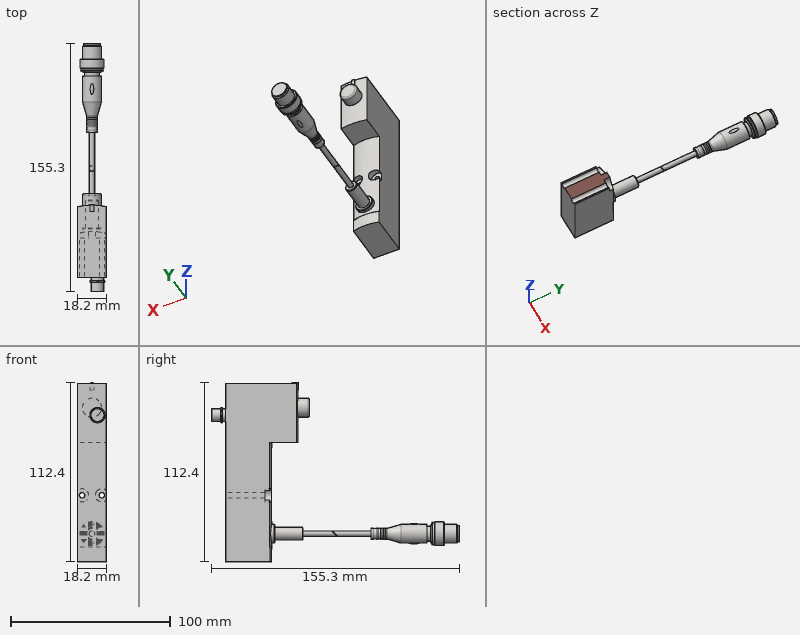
import cadquery as cq


width = 18.2
housing_height = 111.8
head_bottom_z = 74.7
end_block_height = 9.5
body_edge_y = 27.3
body_crest_y = 28.9
end_block_edge_y = 27.6
head_edge_y = 44.4
head_crest_y = 45.3

tab_width = 2.3
tab_height = 0.6
tab_end_y = 45.7
tab_length = 4.2
tab_depth = 4.7

hole_diameter = 3.3
hole_spacing = 12.5
hole_z = 41.8
counterbore_diameter = 8.2
counterbore_floor_y = 24.7

front_connector_x = 3.4
front_connector_z = 92.0
front_connector_diameter = 8.0
front_connector_length = 8.9
o_ring_diameter = 9.6
o_ring_thickness = 1.2
o_ring_offset = 2.5

rear_connector_z = 96.6
rear_connector_diameter = 12.0
rear_connector_end_y = 52.6
rear_connector_fillet = 1.1

cable_z = 17.7
cable_diameter = 3.5
cable_joint_y = 68.3
cable_joint_gap = 0.3
outlet_collar_diameter = 12.0
outlet_collar_end_y = 30.9
outlet_sleeve_diameter = 8.0
outlet_sleeve_end_y = 48.5
outlet_chamfer = 0.5

plug_tip_y = 155.3 - front_connector_length
tip_diameter = 10.5
tip_length = 1.1
tip_cone_end = 1.7
barrel_diameter = 12.0
nut_start = 9.5
nut_end = 15.7
nut_diameter = 15.0
nut_chamfer = 0.5
collar_diameter = 14.0
lip_start = 16.8
lip_end = 17.2
lip_diameter = 14.5
hub_end = 18.0
hub_large_diameter = 13.0
hub_small_diameter = 10.9
neck_diameter = 9.6
grip_start = 20.3
grip_end = 36.5
grip_diameter = 12.0

relief_start = 45.0
relief_diameter = 7.0
rib_count = 5
rib_width = 1.0
end_rib_width = 1.5
groove_width_step = 0.5
groove_depth = 0.19

mark_centre = 28.4
mark_half_length = 5.9
mark_radius = 1.4
mark_height = 0.5

overlap = 1.5


def bowed_block(edge_y, crest_y, bottom_z, top_z):
    """Block as wide as the housing whose back face bows out in an arc."""
    half_width = width / 2
    return (
        cq.Workplane("XY", origin=(0, 0, bottom_z))
        .moveTo(-half_width, 0)
        .lineTo(half_width, 0)
        .lineTo(half_width, edge_y)
        .threePointArc((0, crest_y), (-half_width, edge_y))
        .close()
        .extrude(top_z - bottom_z)
    )


def cylinder_along_y(diameter, x, z, start_y, end_y):
    plane = cq.Plane(origin=(x, start_y, z), xDir=(1, 0, 0), normal=(0, 1, 0))
    return cq.Workplane(plane).circle(diameter / 2).extrude(end_y - start_y)


def make_tab():
    """Round-topped block on the top back edge that stands out above and behind the head."""
    half_width = tab_width / 2
    crown_z = housing_height + tab_height
    bottom_z = crown_z - tab_depth
    return (
        cq.Workplane("XZ", origin=(0, tab_end_y, 0))
        .moveTo(-half_width, bottom_z)
        .lineTo(-half_width, housing_height)
        .threePointArc((0, crown_z), (half_width, housing_height))
        .lineTo(half_width, bottom_z)
        .close()
        .extrude(tab_length)
    )


def make_front_connector():
    shaft = cylinder_along_y(
        front_connector_diameter, front_connector_x, front_connector_z, -front_connector_length, overlap
    )
    tube_radius = o_ring_thickness / 2
    o_ring = cq.Solid.makeTorus(
        o_ring_diameter / 2 - tube_radius,
        tube_radius,
        cq.Vector(front_connector_x, -o_ring_offset, front_connector_z),
        cq.Vector(0, 1, 0),
    )
    return shaft.union(cq.Workplane(o_ring))


def make_rear_connector():
    return (
        cylinder_along_y(
            rear_connector_diameter, 0, rear_connector_z, head_edge_y - overlap, rear_connector_end_y
        )
        .faces(">Y")
        .edges()
        .fillet(rear_connector_fillet)
    )


def make_cable_outlet():
    start_y = body_edge_y - overlap
    collar = cylinder_along_y(outlet_collar_diameter, 0, cable_z, start_y, outlet_collar_end_y)
    sleeve = cylinder_along_y(outlet_sleeve_diameter, 0, cable_z, start_y, outlet_sleeve_end_y)
    collar = collar.faces(">Y").edges().chamfer(outlet_chamfer)
    sleeve = sleeve.faces(">Y").edges().chamfer(outlet_chamfer)
    return collar.union(sleeve)


def cable_piece(far_y, joint_y):
    """Cable from a square end at far_y to an end cut at 45 degrees that meets the axis at joint_y."""
    radius = cable_diameter / 2
    bottom_z = cable_z - radius
    top_z = cable_z + radius
    side = (
        cq.Workplane("YZ", origin=(-radius, 0, 0))
        .moveTo(far_y, bottom_z)
        .lineTo(joint_y + radius, bottom_z)
        .lineTo(joint_y - radius, top_z)
        .lineTo(far_y, top_z)
        .close()
        .extrude(cable_diameter)
    )
    start_y = min(far_y, joint_y - radius)
    end_y = max(far_y, joint_y + radius)
    return cylinder_along_y(cable_diameter, 0, cable_z, start_y, end_y).intersect(side)


def make_housing():
    housing = bowed_block(end_block_edge_y, body_crest_y, 0, end_block_height)
    housing = housing.union(bowed_block(body_edge_y, body_crest_y, end_block_height, head_bottom_z))
    housing = housing.union(bowed_block(head_edge_y, head_crest_y, head_bottom_z, housing_height))
    for hole_x in (-hole_spacing / 2, hole_spacing / 2):
        housing = housing.cut(cylinder_along_y(hole_diameter, hole_x, hole_z, 0, body_crest_y))
        housing = housing.cut(
            cylinder_along_y(counterbore_diameter, hole_x, hole_z, counterbore_floor_y, body_crest_y)
        )
    housing = housing.union(make_tab())
    housing = housing.union(make_front_connector())
    housing = housing.union(make_rear_connector())
    housing = housing.union(make_cable_outlet())
    cable = cable_piece(outlet_sleeve_end_y - overlap, cable_joint_y - cable_joint_gap / 2)
    return housing.union(cable)


def plug_body():
    """Plug turned about its axis; the outline runs from the tip to the strain relief."""
    outline = (
        cq.Workplane("XY")
        .moveTo(0, 0)
        .lineTo(tip_diameter / 2, 0)
        .lineTo(tip_diameter / 2, -tip_length)
        .lineTo(barrel_diameter / 2, -tip_cone_end)
        .lineTo(barrel_diameter / 2, -nut_start)
        .lineTo(nut_diameter / 2 - nut_chamfer, -nut_start)
        .lineTo(nut_diameter / 2, -nut_start - nut_chamfer)
        .lineTo(nut_diameter / 2, -nut_end + nut_chamfer)
        .lineTo(collar_diameter / 2, -nut_end)
        .lineTo(collar_diameter / 2, -lip_start)
        .lineTo(lip_diameter / 2, -lip_start)
        .lineTo(lip_diameter / 2, -lip_end)
        .lineTo(hub_large_diameter / 2, -lip_end)
        .lineTo(hub_small_diameter / 2, -hub_end)
        .lineTo(neck_diameter / 2, -hub_end)
        .lineTo(neck_diameter / 2, -grip_start)
        .lineTo(grip_diameter / 2, -grip_start)
        .lineTo(grip_diameter / 2, -grip_end)
        .lineTo(relief_diameter / 2, -relief_start)
    )
    rib_radius = relief_diameter / 2
    distance = relief_start
    for groove in range(1, rib_count):
        distance += rib_width
        groove_width = groove * groove_width_step
        outline = outline.lineTo(rib_radius, -distance).threePointArc(
            (rib_radius - groove_depth, -distance - groove_width / 2), (rib_radius, -distance - groove_width)
        )
        distance += groove_width
    distance += end_rib_width
    outline = outline.lineTo(rib_radius, -distance).lineTo(0, -distance).close()
    return outline.revolve(360, (0, 0), (0, 1)).translate((0, plug_tip_y, cable_z))


def grip_mark(direction):
    """Spindle sunk into the grip so that a lens shows; direction is 1 for the top, -1 for the bottom."""
    axis_z = cable_z + direction * (grip_diameter / 2 + mark_height - mark_radius)
    return (
        cq.Workplane("XY")
        .moveTo(0, -mark_half_length)
        .threePointArc((mark_radius, 0), (0, mark_half_length))
        .close()
        .revolve(360, (0, 0), (0, 1))
        .translate((0, plug_tip_y - mark_centre, axis_z))
    )


def make_plug():
    plug = plug_body()
    for direction in (1, -1):
        plug = plug.union(grip_mark(direction))
    cable = cable_piece(plug_tip_y - relief_start, cable_joint_y + cable_joint_gap / 2)
    return plug.union(cable)


housing = make_housing()
plug = make_plug()

result = cq.Compound.makeCompound([housing.val(), plug.val()])